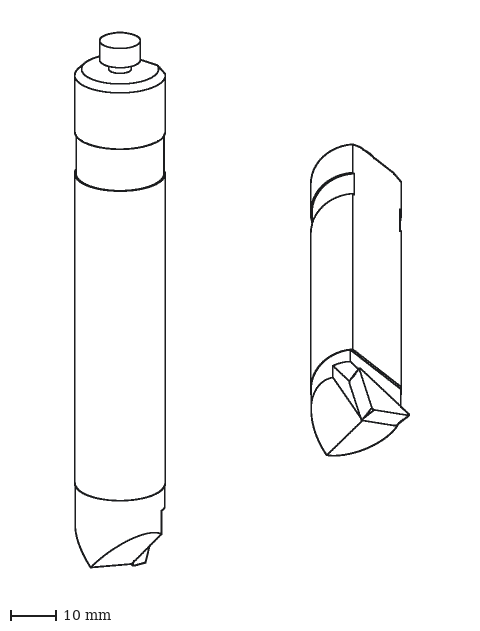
import cadquery as cq
import math

shank_diameter = 20.0
shank_radius = shank_diameter / 2
shank_top = 120.0
shank_top_chamfer = 1.5
shank_flat_y = 7.0

groove_diameter = 19.4
groove_bottom = 95.0
groove_top = 105.0

head_diameter = 19.8
head_top = 21.0
head_flat_y = 6.55

neck_diameter = 5.0
neck_root = shank_top - shank_top_chamfer
knob_diameter = 9.0
knob_bottom = 122.2
knob_dome_height = 1.2
knob_top = 128.0

insert_side = 15.8
insert_corner_angle = 60.0
insert_thickness = 3.97
relief_angle = 7.0
corner_radius = 0.4
cutting_edge_slope = 45.0
tip_x = 1.1
insert_face_y = shank_flat_y
seat_y = insert_face_y - insert_thickness

round_spacing = insert_side - 2 * corner_radius * math.sqrt(3)


def corner_round_centre(angle):
    """X and Z of the corner round reached from the lowest one along a side at this angle."""
    return (
        tip_x + round_spacing * math.cos(math.radians(angle)),
        corner_radius + round_spacing * math.sin(math.radians(angle)),
    )


tip_centre = (tip_x, corner_radius)
left_centre = corner_round_centre(180 - cutting_edge_slope)
upper_centre = corner_round_centre(180 - cutting_edge_slope - insert_corner_angle)

left_face_rise = math.tan(math.radians(cutting_edge_slope))
left_face_lean = math.tan(math.radians(relief_angle)) / math.cos(math.radians(cutting_edge_slope))
left_face_height = (
    corner_radius
    + left_face_rise * tip_x
    - corner_radius / math.cos(math.radians(cutting_edge_slope))
    + left_face_lean * insert_face_y
)
right_face_rise = 1.1
right_face_lean = 0.31
right_face_height = 1.0


def make_shank():
    profile = (
        cq.Workplane("XZ")
        .moveTo(0, 0)
        .lineTo(head_diameter / 2, 0)
        .lineTo(head_diameter / 2, head_top)
        .lineTo(shank_radius, head_top)
        .lineTo(shank_radius, groove_bottom)
        .lineTo(groove_diameter / 2, groove_bottom)
        .lineTo(groove_diameter / 2, groove_top)
        .lineTo(shank_radius, groove_top)
        .lineTo(shank_radius, shank_top - shank_top_chamfer)
        .lineTo(shank_radius - shank_top_chamfer, shank_top)
        .lineTo(0, shank_top)
        .close()
    )
    return profile.revolve(360, (0, 0, 0), (0, 1, 0))


def cut_flat(body, flat_y, bottom, top):
    waste = cq.Workplane("XY").box(
        shank_diameter, shank_diameter, top - bottom, centered=(True, False, False)
    )
    return body.cut(waste.translate((0, flat_y, bottom)))


def end_face_waste(height, rise, lean):
    """Solid below the plane Z = height + rise * X - lean * Y."""
    reach = 2 * shank_diameter
    direction = cq.Vector(1, 0, rise)
    normal = cq.Vector(rise, -lean, -1)
    plane = cq.Plane(origin=(0, 0, height), xDir=direction, normal=normal)
    return cq.Workplane(plane).rect(reach, reach).extrude(shank_diameter)


def make_seat_waste():
    """Space in front of the insert seat, below the insert's upper side carried across the bar."""
    side_angle = math.radians(insert_corner_angle - cutting_edge_slope)
    side_slope = math.tan(side_angle)
    side_height = left_centre[1] - side_slope * left_centre[0] + corner_radius / math.cos(side_angle)
    return (
        cq.Workplane("XZ", origin=(0, seat_y, 0))
        .moveTo(-shank_radius, 0)
        .lineTo(shank_radius, 0)
        .lineTo(shank_radius, side_height + side_slope * shank_radius)
        .lineTo(-shank_radius, side_height - side_slope * shank_radius)
        .close()
        .extrude(-shank_radius)
    )


def make_knob():
    knob_edge = knob_top - knob_dome_height
    half_radius = knob_diameter / 4
    dome_radius = ((knob_diameter / 2) ** 2 + knob_dome_height ** 2) / (2 * knob_dome_height)
    dome_centre = knob_top - dome_radius
    dome_middle = dome_centre + math.sqrt(dome_radius ** 2 - half_radius ** 2)
    profile = (
        cq.Workplane("XZ")
        .moveTo(0, neck_root)
        .lineTo(neck_diameter / 2, neck_root)
        .lineTo(neck_diameter / 2, knob_bottom)
        .lineTo(knob_diameter / 2, knob_bottom)
        .lineTo(knob_diameter / 2, knob_edge)
        .threePointArc((half_radius, dome_middle), (0, knob_top))
        .close()
    )
    return profile.revolve(360, (0, 0, 0), (0, 1, 0))


def make_insert():
    return (
        cq.Workplane("XZ", origin=(0, insert_face_y, 0))
        .polyline([tip_centre, upper_centre, left_centre])
        .close()
        .offset2D(corner_radius, "arc")
        .extrude(insert_thickness, taper=relief_angle)
    )


bar = make_shank()
bar = cut_flat(bar, shank_flat_y, head_top, shank_top)
bar = cut_flat(bar, head_flat_y, 0, head_top)
bar = bar.cut(end_face_waste(left_face_height, -left_face_rise, left_face_lean))
bar = bar.cut(end_face_waste(right_face_height, right_face_rise, right_face_lean))
bar = bar.cut(make_seat_waste())
bar = bar.union(make_knob())
bar = cq.Workplane(bar.solids().val())

insert = make_insert()

result = cq.Compound.makeCompound([bar.val(), insert.val()])